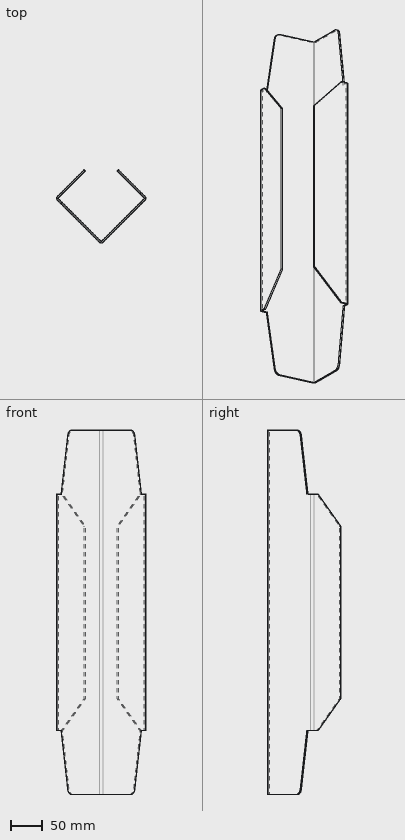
import cadquery as cq
import math

length = 574.0
width = 140.5
depth = 115.5
thickness = 3.0
bend_inner_radius = 1.0
bend_outer_radius = bend_inner_radius + thickness

flange_height = 372.0
flange_chamfer = 50.5
web_shoulder = 89.5
web_tip = 73.5
tip_radius = 10.0

root_two = math.sqrt(2)
sharp_corner_loss = bend_outer_radius * (root_two - 1)
half_width = width / 2 + sharp_corner_loss
apex_y = -sharp_corner_loss
corner_y = apex_y + half_width
flange_rise = depth - corner_y
web_width = half_width * root_two
flange_width = flange_rise * root_two
diagonal = thickness / root_two
inner_offset = thickness * root_two
tool_reach = 11.5


def folded_sheet():
    tip_x = half_width - flange_rise
    right_outer = [(half_width, corner_y), (tip_x, depth)]
    right_inner = [
        (tip_x - diagonal, depth - diagonal),
        (half_width - inner_offset, corner_y),
    ]
    right_side = right_outer + right_inner
    left_side = [(-x, y) for x, y in reversed(right_side)]
    outline = [(0, apex_y)] + right_side + [(0, apex_y + inner_offset)] + left_side
    sheet = cq.Workplane("XY").polyline(outline).close().extrude(length / 2, both=True)

    def round_edges(body, points, radius):
        for x, y in points:
            nearest = cq.selectors.NearestToPointSelector((x, y, 0))
            body = body.edges("|Z").edges(nearest).fillet(radius)
        return body

    outer_bends = [(0, apex_y), (half_width, corner_y), (-half_width, corner_y)]
    inner_x = half_width - inner_offset
    inner_bends = [(0, apex_y + inner_offset), (inner_x, corner_y), (-inner_x, corner_y)]
    sheet = round_edges(sheet, outer_bends, bend_outer_radius)
    return round_edges(sheet, inner_bends, bend_inner_radius)


def web_end_cutter():
    """Removes the flange and tapers the web at the top end of the +X side."""
    web_plane = cq.Plane(origin=(0, apex_y, 0), xDir=(1, 1, 0), normal=(1, -1, 0))
    shoulder_z = flange_height / 2
    end_z = length / 2
    far_side = web_width + tool_reach
    edge_drop = end_z - shoulder_z
    edge_step = web_shoulder - web_tip
    edge_length = math.hypot(edge_drop, edge_step)
    lean = math.atan2(edge_step, edge_drop)

    tangent = tip_radius * math.tan((math.pi / 2 - lean) / 2)
    taper_touch = (
        web_tip + tangent * edge_step / edge_length,
        end_z - tangent * edge_drop / edge_length,
    )
    end_touch = (web_tip - tangent, end_z)
    arc_center = (web_tip - tangent, end_z - tip_radius)
    mid_angle = (math.pi / 2 + lean) / 2
    arc_middle = (
        arc_center[0] + tip_radius * math.cos(mid_angle),
        arc_center[1] + tip_radius * math.sin(mid_angle),
    )
    return (
        cq.Workplane(web_plane)
        .workplane(offset=tool_reach)
        .moveTo(far_side, shoulder_z)
        .lineTo(web_shoulder, shoulder_z)
        .lineTo(*taper_touch)
        .threePointArc(arc_middle, end_touch)
        .lineTo(web_tip - tangent, end_z + tool_reach)
        .lineTo(far_side, end_z + tool_reach)
        .close()
        .extrude(-(flange_width + 2 * tool_reach))
    )


def flange_corner_cutter():
    """Cuts the top free corner of the +X flange at 45 degrees."""
    flange_plane = cq.Plane(
        origin=(half_width, corner_y, 0), xDir=(-1, 1, 0), normal=(1, 1, 0)
    )
    top = flange_height / 2
    return (
        cq.Workplane(flange_plane)
        .workplane(offset=-tool_reach)
        .moveTo(flange_width - flange_chamfer, top)
        .lineTo(flange_width, top)
        .lineTo(flange_width, top - flange_chamfer)
        .close()
        .extrude(2 * tool_reach)
    )


result = folded_sheet()
for cutter in (web_end_cutter(), flange_corner_cutter()):
    for side_cutter in (cutter, cutter.mirror("YZ")):
        result = result.cut(side_cutter).cut(side_cutter.mirror("XY"))